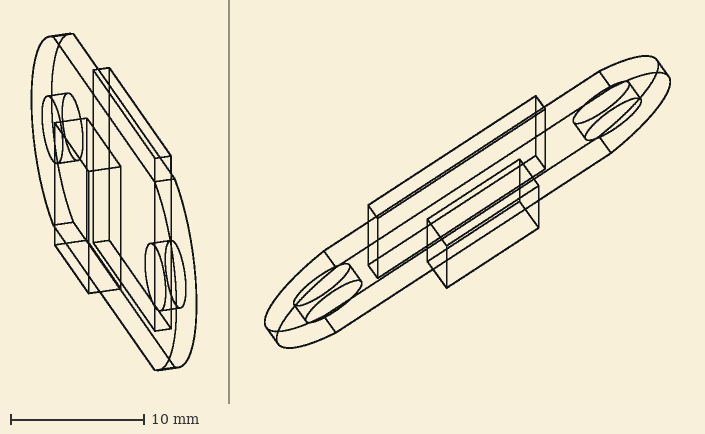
import cadquery as cq
import math

plate_length = 35.81
plate_height = 15.88
plate_thickness = 1.59
end_radius = 8.54

hole_diameter = 5.11
hole_spacing = 25.4

front_block_width = 8.38
front_block_height = 10.29
front_block_depth = 2.54

back_pad_width = 15.24
back_pad_height = 14.55
back_pad_depth = 1.27


def centred_block(width, depth, height, front_y):
    """Box centred in X and Z whose -Y face lies at front_y."""
    block = cq.Workplane("XY").box(width, depth, height, centered=(True, False, True))
    return block.translate((0, front_y, 0))


def make_plate():
    """Plate with its front face at Y = 0 and its back face at +Y."""
    half_length = plate_length / 2
    half_height = plate_height / 2
    end_bow = end_radius - math.sqrt(end_radius**2 - half_height**2)
    half_flat = half_length - end_bow
    outline = (
        cq.Workplane("XZ")
        .moveTo(-half_flat, half_height)
        .lineTo(half_flat, half_height)
        .threePointArc((half_length, 0), (half_flat, -half_height))
        .lineTo(-half_flat, -half_height)
        .threePointArc((-half_length, 0), (-half_flat, half_height))
        .close()
    )
    return outline.extrude(-plate_thickness)


def make_mounting_holes():
    """Cylinders that pass through the plate thickness."""
    return (
        cq.Workplane("XZ")
        .pushPoints([(side * hole_spacing / 2, 0) for side in (-1, 1)])
        .circle(hole_diameter / 2)
        .extrude(-plate_thickness)
    )


plate = make_plate().cut(make_mounting_holes())
front_block = centred_block(front_block_width, front_block_depth, front_block_height, -front_block_depth)
back_pad = centred_block(back_pad_width, back_pad_depth, back_pad_height, plate_thickness)

result = plate.union(front_block).union(back_pad)